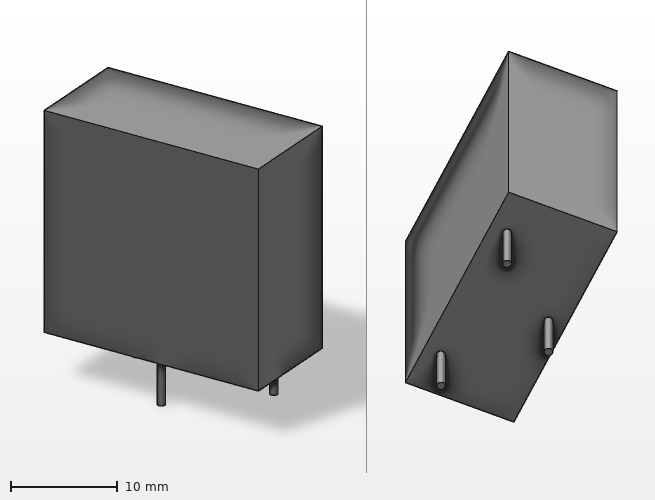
import cadquery as cq

housing_length = 23.8
housing_width = 11.12
total_height = 28.1
pin_length = 5.1
pin_diameter = 0.81
pin_pitch = 7.62

housing_height = total_height - pin_length
pin_row_offset = pin_pitch / 2

pin_positions = [
    (0, -pin_row_offset),
    (-pin_pitch, pin_row_offset),
    (pin_pitch, pin_row_offset),
]


def make_housing():
    """Plain rectangular block standing on the XY plane."""
    return cq.Workplane("XY").box(
        housing_length, housing_width, housing_height, centered=(True, True, False)
    )


def make_pin(position):
    """Round pin hanging down from the underside of the housing."""
    return cq.Workplane("XY").center(*position).circle(pin_diameter / 2).extrude(-pin_length)


housing = make_housing()
pins = [make_pin(position) for position in pin_positions]

result = cq.Compound.makeCompound([housing.val(), *[pin.val() for pin in pins]])